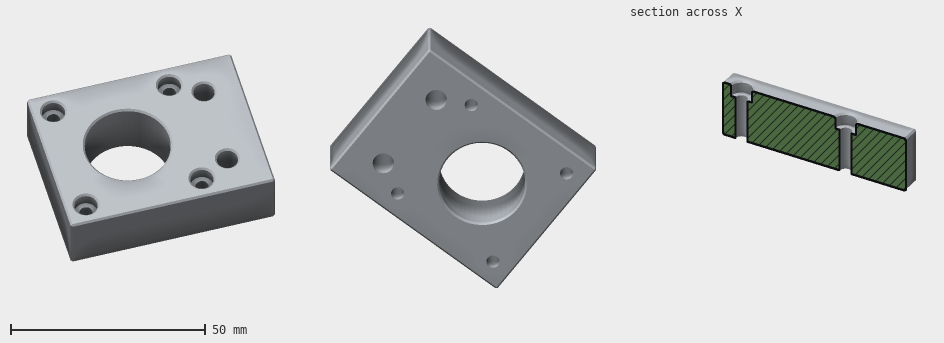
import cadquery as cq

width = 42.3
length = 54.65
height = 16.0
edge_chamfer = 0.5

bore_diameter = 22.2
bore_y = -6.25

screw_spacing = 31.05
screw_diameter = 3.4
counterbore_diameter = 6.0
counterbore_depth = 3.5

pair_spacing = 22.3
pair_diameter = 5.5
pair_y = 17.3

top = height / 2


def cylinder_down(diameter, depth, x, y):
    """Cylinder reaching down from the top face."""
    return cq.Workplane("XY", origin=(x, y, top)).circle(diameter / 2).extrude(-depth)


def countersink(diameter, x, y):
    """Cone that breaks the top rim of a hole at 45 degrees."""
    rim_radius = diameter / 2 + edge_chamfer
    return (
        cq.Workplane("XY", origin=(x, y, top))
        .circle(rim_radius)
        .extrude(-edge_chamfer, taper=45)
    )


def chamfered_hole(diameter, depth, x, y):
    return cylinder_down(diameter, depth, x, y).union(countersink(diameter, x, y))


result = cq.Workplane("XY").box(width, length, height).edges().chamfer(edge_chamfer)

bore = chamfered_hole(bore_diameter, height, 0, bore_y)
bore = bore.union(bore.mirror("XY"))
result = result.cut(bore)

for side in (-1, 1):
    screw_x = side * screw_spacing / 2
    for end in (-1, 1):
        screw_y = bore_y + end * screw_spacing / 2
        result = result.cut(cylinder_down(screw_diameter, height, screw_x, screw_y))
        result = result.cut(
            chamfered_hole(counterbore_diameter, counterbore_depth, screw_x, screw_y)
        )
    result = result.cut(chamfered_hole(pair_diameter, height, side * pair_spacing / 2, pair_y))